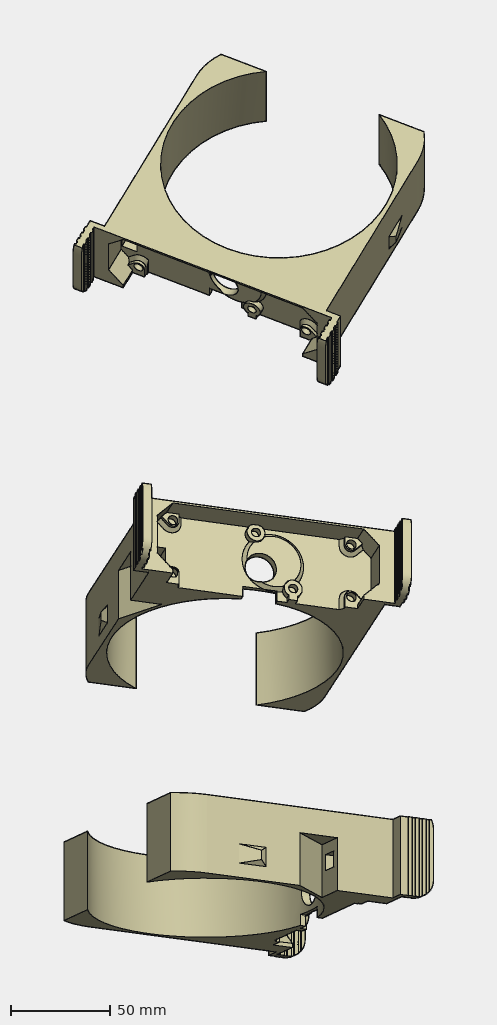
import cadquery as cq
import math

HEIGHT = 41.0
BODY_HALF_WIDTH = 62.1
BODY_BACK = 143.1
CORNER_START = 125.0
BACK_HALF_WIDTH = 56.8

FRONT_FACE = 15.9
PLATE_BACK = 18.7

BORE_RADIUS = 59.7
BORE_CENTER = 92.5

EAR_OUTER = 70.1
EAR_INNER = 66.5
EAR_CORNER_RADIUS = 9.7
EAR_TOP_STRAIGHT = 36.2
RIB_HEIGHT = 0.6
RIB_WIDTH = 2.3
RIB_PITCH = 4.0
RIB_COUNT = 4

POCKET_FLOOR = 30.5
POCKET_HALF_WIDTH = 58.4
POCKET_TOP = 39.8
POCKET_TOP_HALF_WIDTH = 50.2
POCKET_CORNER = POCKET_HALF_WIDTH - POCKET_TOP_HALF_WIDTH
POCKET_SIDE_BOTTOM = 10.3

NOTCH_HALF_WIDTH = 9.0
NOTCH_HEIGHT = 5.7
DISC_X = 6.7
DISC_Z = 21.2
DISC_BASE_RADIUS = 16.2
DISC_HEIGHT = 2.0
CABLE_HOLE_DIAMETER = 16.0
CABLE_HOLE_Z = 16.7

ROUND_BOSS_RADIUS = 4.7
ROUND_BOSS_HEIGHT = 3.5
ROUND_BOSS_HOLE = 4.7
UPPER_BOSS = (-3.1, 35.5)
LOWER_BOSS = (16.5, 6.6)
STEM_HALF_WIDTH = 2.3

CORNER_BOSS_X = 47.0
CORNER_BOSS_LOW_Z = 6.2
CORNER_BOSS_HIGH_Z = 35.9
CORNER_BOSS_RADIUS = 3.3
FLARE = 2.0
CORNER_BOSS_HEIGHT = 3.7
CORNER_BOSS_HOLE = 5.0
TRIMMED_BOSS_REACH = 3.9

RECESS_FRONT = 50.5
RECESS_BACK = 72.0
RECESS_DEPTH = 16.3
RECESS_HEIGHT = 27.5
PASSAGE_LEFT = -58.0
PASSAGE_SIZE = 8.3
PASSAGE_BOTTOM = 13.2

CATCH_FRONT = 91.3
CATCH_BACK = 106.6
CATCH_BOTTOM = 7.5
CATCH_TOP = 17.5
CATCH_RIDGE_Y = 95.0
CATCH_RIDGE_BOTTOM = 10.2
CATCH_RIDGE_TOP = 15.0
CATCH_HEIGHT = 2.3


def box(x_range, y_range, z_range):
    """Box spanning the given (low, high) limits."""
    sizes = [high - low for low, high in (x_range, y_range, z_range)]
    corner = (x_range[0], y_range[0], z_range[0])
    return cq.Workplane("XY").box(*sizes, centered=False).translate(corner)


def facing(y, x=0, z=0):
    """XZ sketch plane at depth y whose normal points toward the front (-Y)."""
    return cq.Workplane("XZ", origin=(x, y, z))


def mirrored_pair(shape):
    return shape.union(shape.mirror("YZ"))


def make_body():
    run = BODY_BACK - CORNER_START
    inset = BODY_HALF_WIDTH - BACK_HALF_WIDTH
    radius = (run**2 + inset**2) / (2 * inset)
    half_angle = math.asin(run / radius) / 2
    mid_x = BODY_HALF_WIDTH - radius * (1 - math.cos(half_angle))
    mid_y = CORNER_START + radius * math.sin(half_angle)
    block = (
        cq.Workplane("XY")
        .moveTo(-BODY_HALF_WIDTH, FRONT_FACE)
        .lineTo(BODY_HALF_WIDTH, FRONT_FACE)
        .lineTo(BODY_HALF_WIDTH, CORNER_START)
        .threePointArc((mid_x, mid_y), (BACK_HALF_WIDTH, BODY_BACK))
        .lineTo(-BACK_HALF_WIDTH, BODY_BACK)
        .threePointArc((-mid_x, mid_y), (-BODY_HALF_WIDTH, CORNER_START))
        .close()
        .extrude(HEIGHT)
    )
    plate = box((-EAR_OUTER, EAR_OUTER), (FRONT_FACE, PLATE_BACK), (0, HEIGHT))
    bore = cq.Workplane("XY").center(0, BORE_CENTER).circle(BORE_RADIUS).extrude(HEIGHT)
    return block.union(plate).cut(bore)


def make_ears():
    ear = box((EAR_INNER, EAR_OUTER), (0, PLATE_BACK), (0, HEIGHT))
    for index in range(RIB_COUNT):
        start = index * RIB_PITCH
        x_range = (EAR_INNER - RIB_HEIGHT, EAR_OUTER + RIB_HEIGHT)
        ear = ear.union(box(x_range, (start, start + RIB_WIDTH), (0, HEIGHT)))

    radius = EAR_CORNER_RADIUS
    top_angle = math.asin((HEIGHT - EAR_TOP_STRAIGHT) / radius)

    def tip_arc_point(center_z, angle):
        return radius * (1 - math.cos(angle)), center_z + radius * math.sin(angle)

    profile = (
        cq.Workplane("YZ")
        .moveTo(PLATE_BACK, 0)
        .lineTo(radius, 0)
        .threePointArc(tip_arc_point(radius, -math.pi / 4), (0, radius))
        .lineTo(0, EAR_TOP_STRAIGHT)
        .threePointArc(
            tip_arc_point(EAR_TOP_STRAIGHT, top_angle / 2),
            tip_arc_point(EAR_TOP_STRAIGHT, top_angle),
        )
        .lineTo(PLATE_BACK, HEIGHT)
        .close()
        .extrude(EAR_OUTER + RIB_HEIGHT)
    )
    return mirrored_pair(ear.intersect(profile))


def make_pocket():
    side_top = POCKET_TOP - POCKET_CORNER
    slot_top = POCKET_SIDE_BOTTOM - POCKET_CORNER
    right_side = [
        (POCKET_TOP_HALF_WIDTH, 0),
        (POCKET_TOP_HALF_WIDTH, slot_top),
        (POCKET_HALF_WIDTH, POCKET_SIDE_BOTTOM),
        (POCKET_HALF_WIDTH, side_top),
        (POCKET_TOP_HALF_WIDTH, POCKET_TOP),
    ]
    left_side = [(-x, z) for x, z in reversed(right_side)]
    return facing(POCKET_FLOOR).polyline(right_side + left_side).close().extrude(POCKET_FLOOR - FRONT_FACE)


def make_floor_notch():
    return box((-NOTCH_HALF_WIDTH, NOTCH_HALF_WIDTH), (FRONT_FACE, BORE_CENTER), (0, NOTCH_HEIGHT))


def make_side_recess():
    wedge = (
        cq.Workplane("XY")
        .moveTo(-BODY_HALF_WIDTH, RECESS_FRONT)
        .lineTo(RECESS_DEPTH - BODY_HALF_WIDTH, RECESS_FRONT)
        .lineTo(-BODY_HALF_WIDTH, RECESS_BACK)
        .close()
        .extrude(RECESS_HEIGHT)
    )
    passage = box(
        (PASSAGE_LEFT, PASSAGE_LEFT + PASSAGE_SIZE),
        (POCKET_FLOOR, RECESS_FRONT),
        (PASSAGE_BOTTOM, PASSAGE_BOTTOM + PASSAGE_SIZE),
    )
    return wedge.union(passage)


def make_disc():
    top_radius = DISC_BASE_RADIUS - DISC_HEIGHT
    return (
        facing(POCKET_FLOOR, DISC_X, DISC_Z)
        .circle(DISC_BASE_RADIUS)
        .workplane(offset=DISC_HEIGHT)
        .circle(top_radius)
        .loft()
    )


def make_cable_hole():
    start = POCKET_FLOOR - DISC_HEIGHT
    hole = facing(start, 0, CABLE_HOLE_Z).circle(CABLE_HOLE_DIAMETER / 2)
    return hole.extrude(start - BORE_CENTER)


def make_round_bosses():
    bosses = (
        facing(POCKET_FLOOR)
        .pushPoints([UPPER_BOSS, LOWER_BOSS])
        .circle(ROUND_BOSS_RADIUS)
        .extrude(ROUND_BOSS_HEIGHT)
    )
    x, z = LOWER_BOSS
    stem = box(
        (x - STEM_HALF_WIDTH, x + STEM_HALF_WIDTH),
        (POCKET_FLOOR - ROUND_BOSS_HEIGHT, POCKET_FLOOR),
        (0, z),
    )
    return bosses.union(stem)


def corner_boss_outline(sketch, radius):
    """Boss outline about the hole centre: open below, with a 45 degree flank toward +X."""
    diagonal = radius * math.sqrt(0.5)
    arc_middle = (radius * math.sin(math.pi / 8), radius * math.cos(math.pi / 8))
    reach = 2 * POCKET_CORNER
    return (
        sketch.moveTo(-radius, -reach)
        .lineTo(-radius, 0)
        .threePointArc((-diagonal, diagonal), (0, radius))
        .threePointArc(arc_middle, (diagonal, diagonal))
        .lineTo(diagonal + reach, diagonal - reach)
        .close()
    )


def make_corner_boss():
    """Boss for the lower right corner, around the origin and rising toward -Y."""
    root = corner_boss_outline(cq.Workplane("XZ"), CORNER_BOSS_RADIUS + FLARE)
    flare = corner_boss_outline(root.workplane(offset=FLARE), CORNER_BOSS_RADIUS).loft(ruled=True)
    post = corner_boss_outline(cq.Workplane("XZ"), CORNER_BOSS_RADIUS).extrude(CORNER_BOSS_HEIGHT)
    return flare.union(post)


def make_corner_bosses(pocket):
    boss = make_corner_boss()
    lower_right = boss.translate((CORNER_BOSS_X, POCKET_FLOOR, CORNER_BOSS_LOW_Z))
    upper_right = boss.mirror("XY").translate((CORNER_BOSS_X, POCKET_FLOOR, CORNER_BOSS_HIGH_Z))
    trim_x = TRIMMED_BOSS_REACH - CORNER_BOSS_X
    trim = box((trim_x, 0), (FRONT_FACE, POCKET_FLOOR), (0, HEIGHT))
    lower_left = lower_right.mirror("YZ").cut(trim)
    bosses = mirrored_pair(upper_right).union(lower_right).union(lower_left)
    return bosses.intersect(pocket)


def make_screw_holes():
    corners = [
        (side * CORNER_BOSS_X, z)
        for side in (-1, 1)
        for z in (CORNER_BOSS_LOW_Z, CORNER_BOSS_HIGH_Z)
    ]
    corner_holes = (
        facing(POCKET_FLOOR)
        .pushPoints(corners)
        .circle(CORNER_BOSS_HOLE / 2)
        .extrude(CORNER_BOSS_HEIGHT)
    )
    round_holes = (
        facing(POCKET_FLOOR)
        .pushPoints([UPPER_BOSS, LOWER_BOSS])
        .circle(ROUND_BOSS_HOLE / 2)
        .extrude(ROUND_BOSS_HEIGHT)
    )
    return corner_holes.union(round_holes)


def make_catches():
    """Wedge on each side rising from a rectangle to a short upright ridge."""
    base = [
        (BODY_HALF_WIDTH, CATCH_FRONT, CATCH_BOTTOM),
        (BODY_HALF_WIDTH, CATCH_BACK, CATCH_BOTTOM),
        (BODY_HALF_WIDTH, CATCH_BACK, CATCH_TOP),
        (BODY_HALF_WIDTH, CATCH_FRONT, CATCH_TOP),
    ]
    ridge_x = BODY_HALF_WIDTH + CATCH_HEIGHT
    ridge_low = (ridge_x, CATCH_RIDGE_Y, CATCH_RIDGE_BOTTOM)
    ridge_high = (ridge_x, CATCH_RIDGE_Y, CATCH_RIDGE_TOP)
    outlines = [
        base,
        [base[0], base[1], ridge_low],
        [base[2], base[3], ridge_high],
        [base[3], base[0], ridge_low, ridge_high],
        [base[1], base[2], ridge_high],
        [base[1], ridge_high, ridge_low],
    ]
    faces = [
        cq.Face.makeFromWires(cq.Wire.makePolygon([cq.Vector(*point) for point in outline], close=True))
        for outline in outlines
    ]
    catch = cq.Workplane(cq.Solid.makeSolid(cq.Shell.makeShell(faces)))
    return mirrored_pair(catch)


pocket = make_pocket()

result = make_body().union(make_ears())
result = result.cut(pocket).cut(make_floor_notch()).cut(make_side_recess())
result = result.union(make_disc()).cut(make_cable_hole())
result = result.union(make_round_bosses().intersect(pocket))
result = result.union(make_corner_bosses(pocket))
result = result.cut(make_screw_holes())
result = result.union(make_catches())